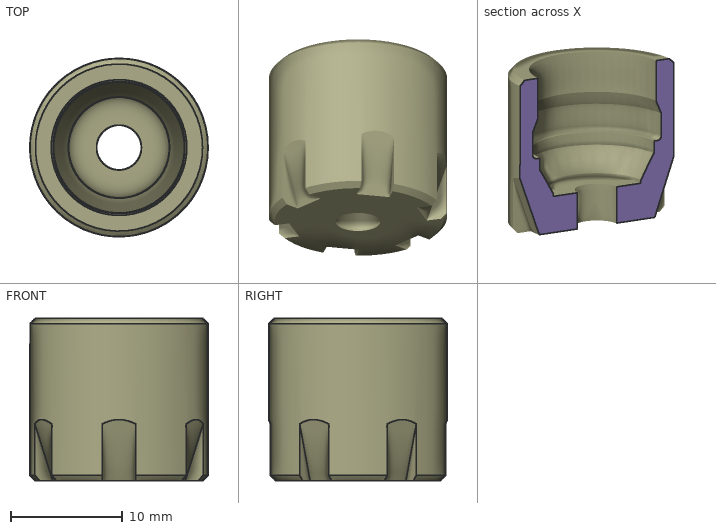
import cadquery as cq
import math

body_diameter = 16.0
body_height = 14.6
edge_chamfer = 0.5

entry_diameter = 12.19
entry_depth = 3.75
relief_diameter = 13.3
relief_flare_depth = 5.0
relief_floor_depth = 7.45
relief_fillet = 0.4
ridge_diameter = 11.79
ridge_bottom_depth = 8.3
undercut_height = 0.3
undercut_half_angle = 6.0
cone_top_diameter = 11.74
cone_bottom_diameter = 9.1
cone_half_angle = 30.0
recess_diameter = 9.03
recess_depth = 0.3
through_hole_diameter = 4.0

slot_count = 6
slot_width = 3.0
slot_height = 5.5
slot_floor_angle = 20.0
first_slot_angle = 90.0
cut_clearance = 1.0


def make_body():
    """Plain cylinder with both outer rims chamfered."""
    body = cq.Workplane("XY").circle(body_diameter / 2).extrude(body_height)
    return body.faces("<Z or >Z").edges().chamfer(edge_chamfer)


def make_bore():
    """Revolved cutter for the bore, flared relief, undercut ridge, conical seat and through hole."""
    entry_radius = entry_diameter / 2
    relief_radius = relief_diameter / 2
    ridge_radius = ridge_diameter / 2
    cone_top_radius = cone_top_diameter / 2
    cone_bottom_radius = cone_bottom_diameter / 2
    recess_radius = recess_diameter / 2
    hole_radius = through_hole_diameter / 2

    relief_floor_z = body_height - relief_floor_depth
    ridge_bottom_z = body_height - ridge_bottom_depth
    undercut_radius = ridge_radius + undercut_height * math.tan(math.radians(undercut_half_angle))
    cone_top_z = ridge_bottom_z - undercut_height
    cone_height = (cone_top_radius - cone_bottom_radius) / math.tan(math.radians(cone_half_angle))
    cone_bottom_z = cone_top_z - cone_height
    recess_floor_z = cone_bottom_z - recess_depth

    profile = (
        cq.Workplane("XZ")
        .moveTo(0, body_height)
        .lineTo(entry_radius, body_height)
        .lineTo(entry_radius, body_height - entry_depth)
        .lineTo(relief_radius, body_height - relief_flare_depth)
        .lineTo(relief_radius, relief_floor_z + relief_fillet)
        .radiusArc((relief_radius - relief_fillet, relief_floor_z), relief_fillet)
        .lineTo(ridge_radius, relief_floor_z)
        .lineTo(ridge_radius, ridge_bottom_z)
        .lineTo(undercut_radius, cone_top_z)
        .lineTo(cone_top_radius, cone_top_z)
        .lineTo(cone_bottom_radius, cone_bottom_z)
        .lineTo(recess_radius, cone_bottom_z)
        .lineTo(recess_radius, recess_floor_z)
        .lineTo(hole_radius, recess_floor_z)
        .lineTo(hole_radius, 0)
        .lineTo(0, 0)
        .close()
    )
    return profile.revolve(360, (0, 0, 0), (0, 1, 0))


def make_slot():
    """Wedge cutter along +X whose sloped floor runs out on the outer wall at the slot height."""
    outer_radius = body_diameter / 2
    floor_slope = math.tan(math.radians(slot_floor_angle))
    bottom_radius = outer_radius - slot_height * floor_slope
    runout_height = slot_height + cut_clearance / floor_slope

    return (
        cq.Workplane("XZ")
        .moveTo(bottom_radius, 0)
        .lineTo(outer_radius + cut_clearance, 0)
        .lineTo(outer_radius + cut_clearance, runout_height)
        .close()
        .extrude(slot_width / 2, both=True)
    )


result = make_body().cut(make_bore())

slot = make_slot()
for index in range(slot_count):
    slot_angle = first_slot_angle + index * 360 / slot_count
    result = result.cut(slot.rotate((0, 0, 0), (0, 0, 1), slot_angle))